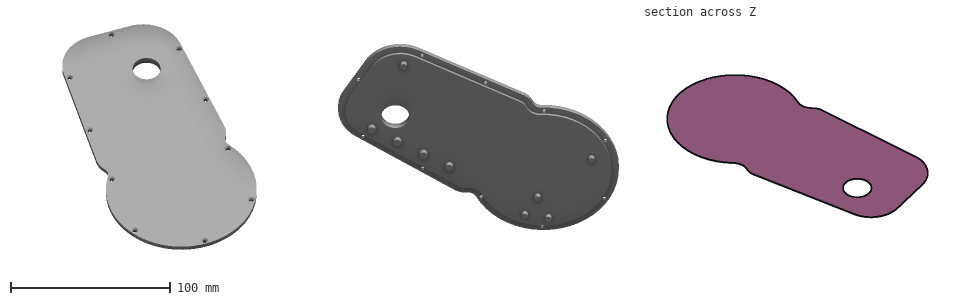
import cadquery as cq
import math

length = 185.3

plate_thickness = 3.0
lip_thickness = 1.7
pin_length = 3.2
lip_inset = 4.6

head_radius = 47.5
head_x = length - head_radius
end_half_flat = 13.7
corner_radius = 25.0
shoulder_x, shoulder_y = 98.6, 28.7
shoulder_radius = 13.9
valley_radius = 5.0

screw_diameter = 2.2
countersink_diameter = 4.3
countersink_angle = 90
screw_edge_distance = 2.8
bolt_circle_radius = head_radius - screw_edge_distance
bolt_angles = (0, 60, 120, 240, 300)
side_screw_places = ((27.8, 36.3), (72.8, 38.5))

opening_x, opening_y = 36.7, 11.9
opening_diameter = 17.6

row_pin_diameter = 5.0
row_pin_count = 4
row_pin_pitch = 18.9
row_start_x, row_y = 28.4, 26.9
corner_pin_diameter = 4.5
corner_pin_x, corner_pin_y = 20.4, -25.8
head_pin_diameter = 3.9
head_pin_inner_x, head_pin_outer_x = 145.0, 158.8
head_pin_places = (
    (head_pin_inner_x, 34.7),
    (head_pin_inner_x, 18.9),
    (head_pin_outer_x, 29.1),
    (head_pin_outer_x, -24.0),
)


def on_circle(center, radius, angle):
    """Point on a circle, with the angle in radians from +X."""
    return (center[0] + radius * math.cos(angle), center[1] + radius * math.sin(angle))


def mirrored(point):
    """Point reflected across the centre line."""
    return (point[0], -point[1])


def outline(inset):
    """Closed tangent-arc outline, moved inwards by the inset."""
    corner_r = corner_radius - inset
    shoulder_r = shoulder_radius - inset
    valley_r = valley_radius + inset
    head_r = head_radius - inset
    corner = (corner_radius, end_half_flat)
    shoulder = (shoulder_x, shoulder_y)
    head = (head_x, 0)

    side_x = shoulder[0] - corner[0]
    side_y = shoulder[1] - corner[1]
    normal_angle = math.atan2(side_y, side_x) + math.acos(
        (corner_r - shoulder_r) / math.hypot(side_x, side_y)
    )

    valley_distance = head_r + valley_r
    shoulder_span = math.hypot(head[0] - shoulder[0], head[1] - shoulder[1])
    shoulder_direction = math.atan2(shoulder[1] - head[1], shoulder[0] - head[0])
    head_corner_angle = math.acos(
        (shoulder_span**2 + valley_distance**2 - (shoulder_r + valley_r) ** 2)
        / (2 * shoulder_span * valley_distance)
    )
    head_angle = shoulder_direction - head_corner_angle
    valley = on_circle(head, valley_distance, head_angle)
    valley_angle = math.atan2(valley[1] - shoulder[1], valley[0] - shoulder[0])

    flat_end = (inset, end_half_flat)
    corner_mid = on_circle(corner, corner_r, (math.pi + normal_angle) / 2)
    side_start = on_circle(corner, corner_r, normal_angle)
    side_end = on_circle(shoulder, shoulder_r, normal_angle)
    shoulder_mid = on_circle(shoulder, shoulder_r, (normal_angle + valley_angle) / 2)
    shoulder_end = on_circle(shoulder, shoulder_r, valley_angle)
    valley_mid_angle = (valley_angle + math.pi + head_angle + math.pi) / 2
    valley_mid = on_circle(valley, valley_r, valley_mid_angle)
    head_start = on_circle(head, head_r, head_angle)
    head_tip = (head_x + head_r, 0)

    return (
        cq.Workplane("XY")
        .moveTo(*flat_end)
        .threePointArc(corner_mid, side_start)
        .lineTo(*side_end)
        .threePointArc(shoulder_mid, shoulder_end)
        .threePointArc(valley_mid, head_start)
        .threePointArc(head_tip, mirrored(head_start))
        .threePointArc(mirrored(valley_mid), mirrored(shoulder_end))
        .threePointArc(mirrored(shoulder_mid), mirrored(side_end))
        .lineTo(*mirrored(side_start))
        .threePointArc(mirrored(corner_mid), mirrored(flat_end))
        .close()
    )


def pins(places, diameter):
    """Round pins hanging from the underside of the lip."""
    return (
        cq.Workplane("XY", origin=(0, 0, -lip_thickness))
        .pushPoints(places)
        .circle(diameter / 2)
        .extrude(-pin_length)
    )


def screw_places():
    """Screw hole centres around the edge of the plate."""
    places = [(screw_edge_distance, 0)]
    for place in side_screw_places:
        places += [place, mirrored(place)]
    for angle in bolt_angles:
        places.append(on_circle((head_x, 0), bolt_circle_radius, math.radians(angle)))
    return places


body = outline(0).extrude(plate_thickness)
body = body.union(outline(lip_inset).extrude(-lip_thickness))

row_places = [(row_start_x + i * row_pin_pitch, row_y) for i in range(row_pin_count)]
body = body.union(pins(row_places, row_pin_diameter))
body = body.union(pins([(corner_pin_x, corner_pin_y)], corner_pin_diameter))
body = body.union(pins(head_pin_places, head_pin_diameter))

top = cq.Workplane("XY", origin=(0, 0, plate_thickness))
body = body.cut(
    top.center(opening_x, opening_y)
    .circle(opening_diameter / 2)
    .extrude(-(plate_thickness + lip_thickness))
)
result = (
    body.faces(">Z")
    .workplane(origin=(0, 0, plate_thickness))
    .pushPoints(screw_places())
    .cskHole(screw_diameter, countersink_diameter, countersink_angle)
)